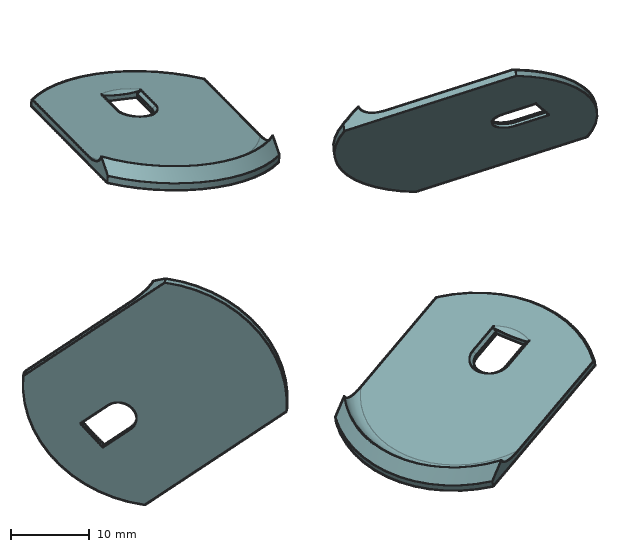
import cadquery as cq
import math

TILT = 10.0
FLAT_WIDTH = 23.9
OUTER_RADIUS = 16.9
FLOOR_THICKNESS = 1.0
REAR_CHAMFER = 0.2

LIP_RADIUS = 15.3
LIP_HEIGHT = 2.65
COVE_RADIUS = 2.0

SLOT_WIDTH = 4.4
SLOT_ROUND_CENTER = -6.0
SLOT_STRAIGHT_LENGTH = 4.65
SLOT_CHAMFER = 0.5

RELIEF_RADIUS = 5.6
RELIEF_SLOPE = 18.0


def make_disc():
    """Round plate with a conical flank and a coved dish in its top."""
    cove_center_height = FLOOR_THICKNESS + COVE_RADIUS
    drop = cove_center_height - LIP_HEIGHT
    cove_center_radius = LIP_RADIUS - math.sqrt(COVE_RADIUS**2 - drop**2)
    crest_angle = math.atan2(-drop, LIP_RADIUS - cove_center_radius)
    middle_angle = (crest_angle - math.pi / 2) / 2
    cove_middle = (
        cove_center_radius + COVE_RADIUS * math.cos(middle_angle),
        cove_center_height + COVE_RADIUS * math.sin(middle_angle),
    )
    return (
        cq.Workplane("XZ")
        .lineTo(OUTER_RADIUS, 0)
        .lineTo(OUTER_RADIUS, FLOOR_THICKNESS)
        .lineTo(LIP_RADIUS, LIP_HEIGHT)
        .threePointArc(cove_middle, (cove_center_radius, FLOOR_THICKNESS))
        .lineTo(0, FLOOR_THICKNESS)
        .close()
        .revolve(360, (0, 0, 0), (0, 1, 0))
    )


def trim_sides(body):
    """Cut the disc to two parallel flat sides."""
    keep = cq.Workplane("XY").box(
        2 * OUTER_RADIUS, FLAT_WIDTH, LIP_HEIGHT, centered=(True, True, False)
    )
    return body.intersect(keep)


def remove_rear_lip(body):
    """Level the lip with the floor over the whole -X half."""
    lip = cq.Workplane("XY", origin=(-OUTER_RADIUS / 2, 0, FLOOR_THICKNESS)).box(
        OUTER_RADIUS, 2 * OUTER_RADIUS, LIP_HEIGHT, centered=(True, True, False)
    )
    return body.cut(lip)


def chamfer_rear_edge(body):
    """Break the top edge of the round -X end."""
    rear_edge = cq.selectors.NearestToPointSelector((-OUTER_RADIUS, 0, FLOOR_THICKNESS))
    return body.edges(rear_edge).chamfer(REAR_CHAMFER)


def slot_outline(plane, half_width):
    """D-shaped slot outline around the common round centre."""
    return (
        plane.moveTo(-SLOT_STRAIGHT_LENGTH, -half_width)
        .lineTo(0, -half_width)
        .threePointArc((half_width, 0), (0, half_width))
        .lineTo(-SLOT_STRAIGHT_LENGTH, half_width)
        .close()
    )


def make_slot():
    """Through slot, chamfered along its sides and round end."""
    half_width = SLOT_WIDTH / 2
    top_half_width = half_width + SLOT_CHAMFER
    base = cq.Workplane("XY", origin=(SLOT_ROUND_CENTER, 0, 0))
    through = slot_outline(base, half_width).extrude(FLOOR_THICKNESS)
    chamfer_base = base.workplane(offset=FLOOR_THICKNESS - SLOT_CHAMFER)
    chamfer_top = slot_outline(chamfer_base, half_width).workplane(offset=SLOT_CHAMFER)
    chamfer = slot_outline(chamfer_top, top_half_width).loft(ruled=True)
    return through.union(chamfer)


def make_relief():
    """Conical relief, limited to the chamfered slot width and the -X side of the straight end."""
    depth = RELIEF_RADIUS * math.tan(math.radians(RELIEF_SLOPE))
    tip = cq.Vector(SLOT_ROUND_CENTER, 0, FLOOR_THICKNESS - depth)
    cone = cq.Workplane(cq.Solid.makeCone(0, RELIEF_RADIUS, depth, tip))
    width = SLOT_WIDTH + 2 * SLOT_CHAMFER
    straight_end = SLOT_ROUND_CENTER - SLOT_STRAIGHT_LENGTH
    window = cq.Workplane("XY", origin=(straight_end - RELIEF_RADIUS / 2, 0, 0)).box(
        RELIEF_RADIUS, width, FLOOR_THICKNESS, centered=(True, True, False)
    )
    return cone.intersect(window)


body = trim_sides(make_disc())
body = remove_rear_lip(body)
body = chamfer_rear_edge(body)
body = body.cut(make_slot()).cut(make_relief())
result = body.rotate((0, 0, 0), (0, 1, 0), TILT)